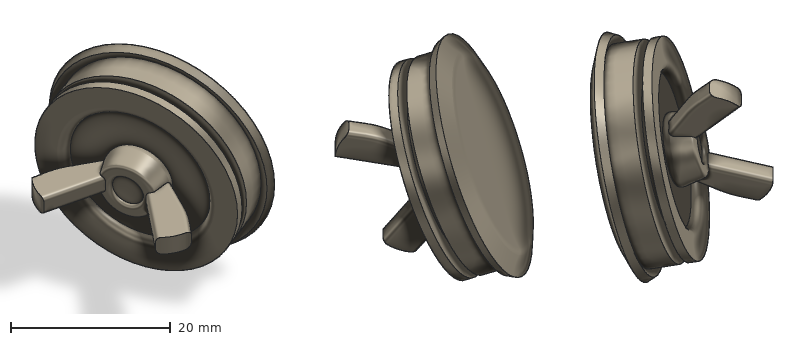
import cadquery as cq


cap_radius = 15.88
cap_back_radius = 12.92
cap_lower_radius = 15.37
cap_bevel = 1.33
cap_lip_depth = 2.45
cap_seat_depth = 1.97
cap_edge_round = 2.0

ring_radius = 14.3
ring_thickness = 3.97
sheet_thickness = 1.2
dish_depth = 1.25
dish_outer_radius = 11.1
dish_inner_radius = dish_outer_radius - sheet_thickness

hub_radius = 4.75
hub_collar = 1.02
hub_tip_radius = 4.0
hub_height = 4.03
hub_foot_round = 0.6
hub_edge_round = 0.6
bolt_radius = 2.2

wing_width = 2.83
wing_bend_radius = 10.48
wing_edge_round = 0.8

bolt_recess = hub_edge_round

ring_back = -cap_seat_depth
ring_front = ring_back - ring_thickness
flange_back = ring_front - dish_depth
flange_front = flange_back - sheet_thickness
dish_floor = ring_front - sheet_thickness
hub_front = dish_floor - hub_height
bolt_end = hub_front + bolt_recess


def revolve_about_y(profile):
    return profile.close().revolve(360, (0, 0, 0), (0, 1, 0))


def tube(outer_radius, inner_radius, back, front):
    profile = (
        cq.Workplane("XY")
        .moveTo(inner_radius, back)
        .lineTo(outer_radius, back)
        .lineTo(outer_radius, front)
        .lineTo(inner_radius, front)
    )
    return revolve_about_y(profile)


def make_cap():
    profile = (
        cq.Workplane("XY")
        .lineTo(cap_back_radius, 0)
        .lineTo(cap_radius, -cap_bevel)
        .lineTo(cap_lower_radius, -cap_lip_depth)
        .lineTo(ring_radius, ring_back)
        .lineTo(0, ring_back)
    )
    return revolve_about_y(profile).faces(">Y").edges().fillet(cap_edge_round)


def make_sealing_ring():
    return tube(ring_radius, bolt_radius, ring_back, ring_front)


def make_clamping_plate():
    """Flat flange that steps back into a flat-floored dish through one rounded bend."""
    back_round_start = dish_outer_radius - sheet_thickness
    front_round_end = dish_inner_radius + sheet_thickness
    profile = (
        cq.Workplane("XY")
        .moveTo(bolt_radius, ring_front)
        .lineTo(back_round_start, ring_front)
        .tangentArcPoint((dish_outer_radius, ring_front - sheet_thickness), relative=False)
        .lineTo(dish_outer_radius, flange_back)
        .lineTo(ring_radius, flange_back)
        .lineTo(ring_radius, flange_front)
        .lineTo(front_round_end, flange_front)
        .tangentArcPoint((dish_inner_radius, flange_front + sheet_thickness), relative=False)
        .lineTo(dish_inner_radius, dish_floor)
        .lineTo(bolt_radius, dish_floor)
    )
    return revolve_about_y(profile)


def make_wing():
    """Wing on the -X side, its inner end buried in the hub."""
    outer_root = (-3.5, -6.95)
    outer_bend = (-9.3, -12.13)
    outer_tip = (-11.25, -15.05)
    tip_middle = (-9.75, -17.1)
    inner_tip = (-7.85, -18.3)
    inner_root = (-2.85, hub_front)
    wing = (
        cq.Workplane("XY")
        .moveTo(*outer_root)
        .lineTo(*outer_bend)
        .lineTo(*outer_tip)
        .threePointArc(tip_middle, inner_tip)
        .lineTo(*inner_root)
        .close()
        .extrude(wing_width / 2, both=True)
    )
    bend_edge = cq.selectors.NearestToPointSelector((*outer_bend, 0))
    wing = wing.edges("|Z").edges(bend_edge).fillet(wing_bend_radius)

    long_edges = wing.newObject([])
    for start, end in ((outer_root, outer_bend), (inner_root, inner_tip)):
        middle = ((start[0] + end[0]) / 2, (start[1] + end[1]) / 2)
        for z in (-wing_width / 2, wing_width / 2):
            near_middle = cq.selectors.NearestToPointSelector((*middle, z))
            long_edges = long_edges.add(wing.edges(near_middle))
    return long_edges.fillet(wing_edge_round)


def make_wing_nut():
    profile = (
        cq.Workplane("XY")
        .moveTo(bolt_radius, dish_floor)
        .lineTo(hub_radius, dish_floor)
        .lineTo(hub_radius, dish_floor - hub_collar)
        .lineTo(hub_tip_radius, hub_front)
        .lineTo(bolt_radius, hub_front)
    )
    hub = revolve_about_y(profile)
    hub = hub.faces("<Y").edges().fillet(hub_edge_round)
    foot_edge = cq.selectors.RadiusNthSelector(-1)
    hub = hub.faces(">Y").edges(foot_edge).fillet(hub_foot_round)
    wing = make_wing()
    return hub.union(wing).union(wing.mirror("YZ"))


def make_bolt():
    return tube(bolt_radius, 0, ring_back, bolt_end)


cap = make_cap()
sealing_ring = make_sealing_ring()
clamping_plate = make_clamping_plate()
wing_nut = make_wing_nut()
bolt = make_bolt()

result = cq.Compound.makeCompound(
    [cap.val(), sealing_ring.val(), clamping_plate.val(), wing_nut.val(), bolt.val()]
)